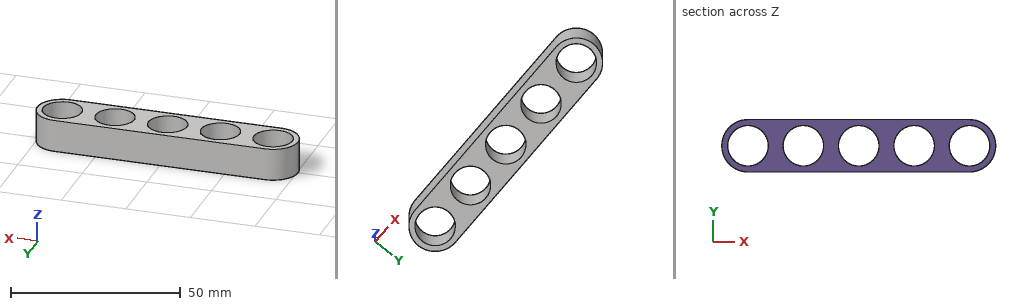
import cadquery as cq

length = 80.8
width = 15.5
height = 10.0

hole_count = 5
hole_diameter = 11.9
hole_pitch = (length - width) / (hole_count - 1)

bar = cq.Workplane("XY").slot2D(length, width).extrude(height / 2, both=True)

result = (
    bar.faces(">Z")
    .workplane()
    .rarray(hole_pitch, width, hole_count, 1)
    .hole(hole_diameter)
)